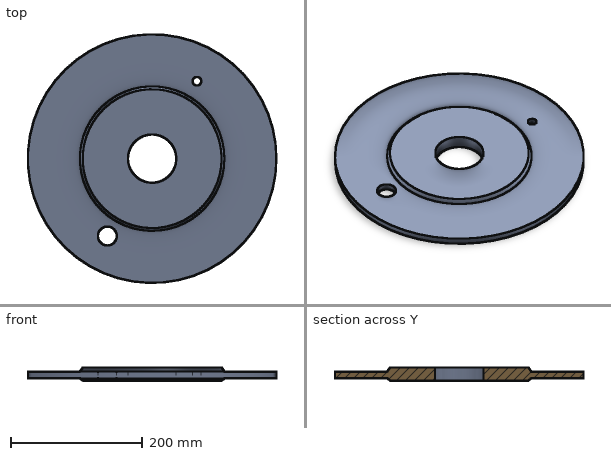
import cadquery as cq

disc_diameter = 378.8
disc_thickness = 10.5

hub_base_diameter = 220.0
upper_hub_top_diameter = 211.5
upper_hub_height = 6.5
lower_hub_end_diameter = 210.0
lower_hub_height = 3.8

bore_diameter = 73.0
large_hole_diameter = 28.5
large_hole_center = (-68.0, -117.8)
small_hole_diameter = 13.0
small_hole_center = (68.0, 117.8)

disc_top = disc_thickness / 2
disc_bottom = -disc_thickness / 2
part_top = disc_top + upper_hub_height
part_bottom = disc_bottom - lower_hub_height

body = (
    cq.Workplane("XZ")
    .moveTo(bore_diameter / 2, part_bottom)
    .lineTo(lower_hub_end_diameter / 2, part_bottom)
    .lineTo(hub_base_diameter / 2, disc_bottom)
    .lineTo(disc_diameter / 2, disc_bottom)
    .lineTo(disc_diameter / 2, disc_top)
    .lineTo(hub_base_diameter / 2, disc_top)
    .lineTo(upper_hub_top_diameter / 2, part_top)
    .lineTo(bore_diameter / 2, part_top)
    .close()
    .revolve(360, (0, 0, 0), (0, 1, 0))
)


def through_hole(diameter, center):
    """Cylinder that cuts the full height of the part."""
    return (
        cq.Workplane("XY", origin=(0, 0, part_bottom))
        .center(*center)
        .circle(diameter / 2)
        .extrude(part_top - part_bottom)
    )


result = body.cut(through_hole(large_hole_diameter, large_hole_center))
result = result.cut(through_hole(small_hole_diameter, small_hole_center))